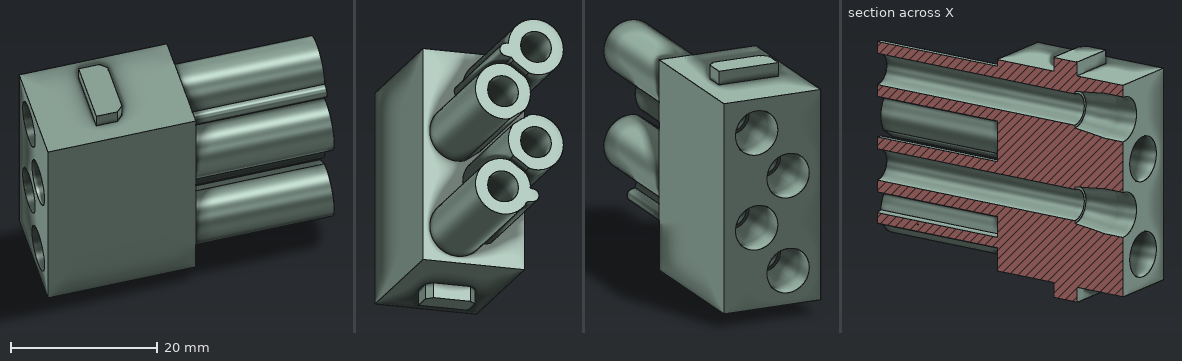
import cadquery as cq
import math

BLOCK_WIDTH = 14.6
BLOCK_DEPTH = 21.0
BLOCK_HEIGHT = 30.3
TOTAL_LENGTH = 40.9
REAR_LENGTH = TOTAL_LENGTH - BLOCK_DEPTH

TUBE_DIAMETER = 7.95
TUBE_COUNT = 4
COLUMN_OFFSET = 2.37
ROW_PITCH = 6.85
WALL_GAP = 0.85

ENTRY_DIAMETER = 6.4
ENTRY_DEPTH = 3.1
FUNNEL_DIAMETER = 5.2
FUNNEL_LENGTH = 4.9
BORE_DIAMETER = 4.4

RIB_TIP_X = 2.82
RIB_RADIUS = 0.9
RIB_DROP = 0.8
RIB_TAPER = 10.0
RIB_ROOT = 3.48

TAB_FRONT_Y = 7.65
TAB_DEPTH = 3.9
TAB_CHAMFER = 0.9
TOP_TAB_WIDTH = 8.95
TOP_TAB_HEIGHT = 1.95
BOTTOM_TAB_WIDTH = 7.1
BOTTOM_TAB_HEIGHT = 2.13


def tube_axis(index):
    """Axis position (x, z) of a tube, counted from the top."""
    side = -1 if index % 2 == 0 else 1
    return side * COLUMN_OFFSET, ((TUBE_COUNT - 1) / 2 - index) * ROW_PITCH


def xz_plane(y):
    """Sketch plane at depth y whose normal points along +Y and whose second axis is +Z."""
    return cq.Workplane(cq.Plane(origin=(0, y, 0), xDir=(-1, 0, 0), normal=(0, 1, 0)))


def block():
    return cq.Workplane("XY").box(BLOCK_WIDTH, BLOCK_DEPTH, BLOCK_HEIGHT, centered=(True, False, True))


def tab(width, height, z_bottom):
    """Tab with its two rear corners chamfered."""
    return (
        cq.Workplane("XY")
        .box(width, TAB_DEPTH, height, centered=(True, False, False))
        .edges("|Z and >Y")
        .chamfer(TAB_CHAMFER)
        .translate((0, TAB_FRONT_Y, z_bottom))
    )


def tube(index):
    x, z = tube_axis(index)
    return xz_plane(BLOCK_DEPTH).center(-x, z).circle(TUBE_DIAMETER / 2).extrude(REAR_LENGTH)


def gap_cut(index):
    """Slab that flattens a tube and the next one where they face each other."""
    x1, z1 = tube_axis(index)
    x2, z2 = tube_axis(index + 1)
    tilt = math.degrees(math.atan2(z2 - z1, x2 - x1))
    return (
        cq.Workplane("XY")
        .box(WALL_GAP, REAR_LENGTH, TUBE_DIAMETER, centered=(True, False, True))
        .rotate((0, 0, 0), (0, 1, 0), -tilt)
        .translate(((x1 + x2) / 2, BLOCK_DEPTH, (z1 + z2) / 2))
    )


def rib(index):
    """Wedge-sided rib with a round tip, pointing from the tube axis across the x = 0 plane."""
    x, z = tube_axis(index)
    slope = math.radians(RIB_TAPER)
    tip = COLUMN_OFFSET + RIB_TIP_X
    tangent = tip - RIB_RADIUS + RIB_RADIUS * math.sin(slope)
    tangent_half_height = RIB_RADIUS * math.cos(slope)
    root_half_height = tangent_half_height + (tangent - RIB_ROOT) * math.tan(slope)
    body = (
        xz_plane(BLOCK_DEPTH)
        .moveTo(RIB_ROOT, root_half_height)
        .lineTo(tangent, tangent_half_height)
        .threePointArc((tip, 0), (tangent, -tangent_half_height))
        .lineTo(RIB_ROOT, -root_half_height)
        .close()
        .extrude(REAR_LENGTH)
    )
    if x < 0:
        body = body.mirror("YZ")
    return body.translate((x, 0, z - RIB_DROP))


def contact_bore(index):
    """Stepped bore: straight entry, funnel, ledge, then a straight bore to the rear."""
    x, z = tube_axis(index)
    funnel_end = ENTRY_DEPTH + FUNNEL_LENGTH
    return (
        cq.Workplane("XY")
        .lineTo(ENTRY_DIAMETER / 2, 0)
        .lineTo(ENTRY_DIAMETER / 2, ENTRY_DEPTH)
        .lineTo(FUNNEL_DIAMETER / 2, funnel_end)
        .lineTo(BORE_DIAMETER / 2, funnel_end)
        .lineTo(BORE_DIAMETER / 2, TOTAL_LENGTH)
        .lineTo(0, TOTAL_LENGTH)
        .close()
        .revolve(360, (0, 0, 0), (0, 1, 0))
        .translate((x, 0, z))
    )


result = block()
result = result.union(tab(TOP_TAB_WIDTH, TOP_TAB_HEIGHT, BLOCK_HEIGHT / 2))
result = result.union(tab(BOTTOM_TAB_WIDTH, BOTTOM_TAB_HEIGHT, -BLOCK_HEIGHT / 2 - BOTTOM_TAB_HEIGHT))
for i in range(TUBE_COUNT):
    result = result.union(tube(i))
for i in range(TUBE_COUNT - 1):
    result = result.cut(gap_cut(i))
for i in (0, TUBE_COUNT - 1):
    result = result.union(rib(i))
for i in range(TUBE_COUNT):
    result = result.cut(contact_bore(i))